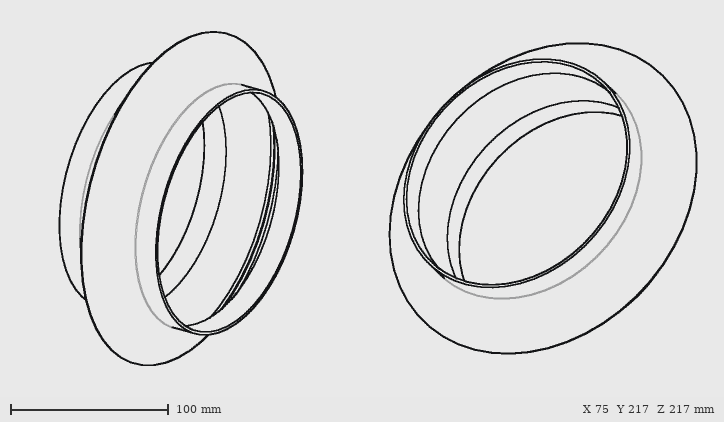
import cadquery as cq
import math

total_width = 75.0
tip_radius = 108.5
collar_outer_radius = 79.9
wall = 2.0
cone_half_width = 21.5
half_gap = 0.33
inner_land_half_width = 2.8
bend_radius = 0.9

half_width = total_width / 2
collar_inner_radius = collar_outer_radius - wall

cone_run = cone_half_width - half_gap
cone_rise = tip_radius - collar_outer_radius
cone_slope = cone_rise / cone_run
radial_wall = wall * math.hypot(cone_rise, cone_run) / cone_run
inner_land_radius = tip_radius - radial_wall - cone_slope * (inner_land_half_width - half_gap)
inner_cone_half_width = inner_land_half_width + (inner_land_radius - collar_inner_radius) / cone_slope

cone_angle = math.atan(cone_slope)
bend_tangent = bend_radius * math.tan(cone_angle / 2)
bend_collar_x = cone_half_width + bend_tangent
bend_cone_x = cone_half_width - bend_tangent * math.cos(cone_angle)
bend_cone_radius = collar_outer_radius + bend_tangent * math.sin(cone_angle)
bend_middle_x = bend_collar_x - bend_radius * math.sin(cone_angle / 2)
bend_middle_radius = collar_outer_radius + bend_radius * (1 - math.cos(cone_angle / 2))


def make_half_shell(side):
    """Collar and flared cone on one side (-1 or +1) of the middle plane."""
    profile = (
        cq.Workplane("XY")
        .moveTo(side * half_gap, inner_land_radius)
        .lineTo(side * half_gap, tip_radius)
        .lineTo(side * bend_cone_x, bend_cone_radius)
        .threePointArc(
            (side * bend_middle_x, bend_middle_radius),
            (side * bend_collar_x, collar_outer_radius),
        )
        .lineTo(side * half_width, collar_outer_radius)
        .lineTo(side * half_width, collar_inner_radius)
        .lineTo(side * inner_cone_half_width, collar_inner_radius)
        .lineTo(side * inner_land_half_width, inner_land_radius)
        .close()
    )
    return profile.revolve(360, (0, 0, 0), (1, 0, 0))


half_shells = [make_half_shell(side) for side in (-1, 1)]

result = cq.Compound.makeCompound([shell.val() for shell in half_shells])